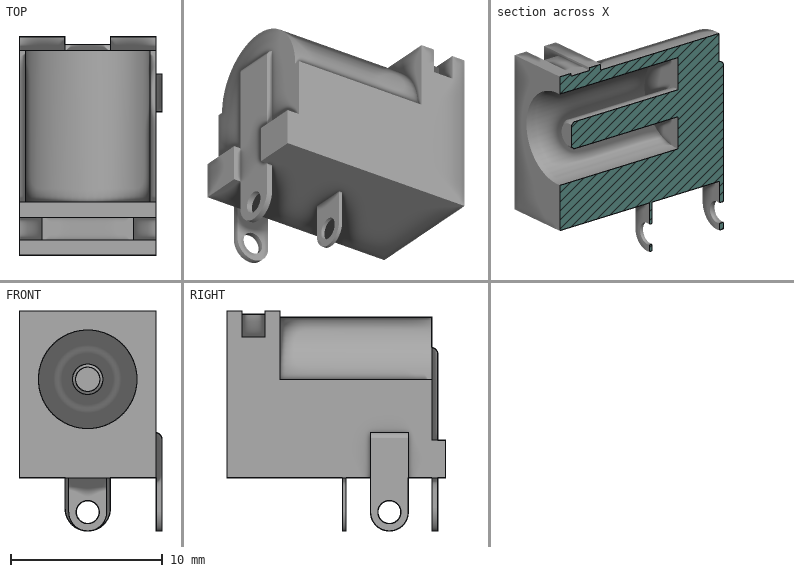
import cadquery as cq


width = 9.0
height = 11.0
flange_length = 3.5
body_length = 13.5
axis_height = 6.5
deck_height = axis_height
barrel_radius = 4.1

slot_front = 1.0
slot_back = 2.5
slot_floor = 9.3
slot_block_width = 6.0
slot_block_top = 10.8

ledge_length = 0.9
ledge_height = 2.5

bore_diameter = 6.5
bore_depth = 10.0
pin_diameter = 2.0
pin_recess = 1.0
pin_chamfer = 0.2

terminal_drop = 3.5
terminal_hole_diameter = 1.5
terminal_hole_z = -2.25
root_depth = 0.5
narrow_terminal_width = 2.5
rear_terminal_width = 3.0
outer_terminal_thickness = 0.4
middle_terminal_thickness = 0.25
rear_terminal_top = 8.6
side_terminal_top = 3.0
terminal_tip_radius = 0.5
side_terminal_y = 10.7
middle_terminal_front = 7.6


def block(x_size, y_start, y_end, z_start, z_end):
    """Box centred on x = 0 between the given y and z limits."""
    return (
        cq.Workplane("XY")
        .box(x_size, y_end - y_start, z_end - z_start, centered=(True, False, False))
        .translate((0, y_start, z_start))
    )


def cylinder(diameter, y_start, y_end):
    """Cylinder on the plug axis between two y positions."""
    return (
        cq.Workplane("XZ", origin=(0, y_start, axis_height))
        .circle(diameter / 2)
        .extrude(y_start - y_end)
    )


def make_housing():
    """Base, barrel, flange and notched ledge, before the bore and the slot are cut."""
    base = block(width, 0, body_length, 0, deck_height)
    flange = block(width, 0, flange_length, 0, height)
    barrel = cylinder(2 * barrel_radius, 0, body_length)
    ledge_back = body_length + ledge_length
    ledge = block(width, body_length, ledge_back, 0, ledge_height)
    notch = block(rear_terminal_width, body_length, ledge_back, 0, ledge_height)
    return base.union(flange).union(barrel).union(ledge.cut(notch))


def make_flange_slot():
    """Volume removed by the cross slot; it is shallow over the middle block."""
    slot = block(width, slot_front, slot_back, slot_floor, height)
    return slot.cut(block(slot_block_width, slot_front, slot_back, slot_floor, slot_block_top))


def make_pin():
    """Centre pin rising from the bore bottom, with a chamfered tip."""
    return cylinder(pin_diameter, pin_recess, bore_depth).faces("<Y").chamfer(pin_chamfer)


def make_terminal(terminal_width, thickness, top):
    """Upright terminal with a round lower end and a hole, from y = 0 to y = thickness."""
    radius = terminal_width / 2
    round_center = radius - terminal_drop
    return (
        cq.Workplane("XZ")
        .moveTo(-radius, top)
        .lineTo(-radius, round_center)
        .threePointArc((0, -terminal_drop), (radius, round_center))
        .lineTo(radius, top)
        .close()
        .extrude(-thickness)
        .cut(
            cq.Workplane("XZ", origin=(0, 0, terminal_hole_z))
            .circle(terminal_hole_diameter / 2)
            .extrude(-thickness)
        )
    )


def make_outer_terminal(terminal_width, top):
    """Terminal lying on a housing wall at y = 0, its top curving in to the wall as a shallow arc."""
    tip_base = top - outer_terminal_thickness
    tip = (
        cq.Workplane("YZ", origin=(-terminal_width / 2, 0, tip_base))
        .lineTo(outer_terminal_thickness, 0)
        .radiusArc((0, outer_terminal_thickness), -terminal_tip_radius)
        .close()
        .extrude(terminal_width)
    )
    return make_terminal(terminal_width, outer_terminal_thickness, tip_base).union(tip)


housing = make_housing().cut(make_flange_slot()).cut(cylinder(bore_diameter, 0, bore_depth))

rear_terminal = make_outer_terminal(rear_terminal_width, rear_terminal_top).translate((0, body_length, 0))
side_terminal = (
    make_outer_terminal(narrow_terminal_width, side_terminal_top)
    .rotate((0, 0, 0), (0, 0, 1), -90)
    .translate((width / 2, side_terminal_y, 0))
)
middle_terminal = make_terminal(
    narrow_terminal_width, middle_terminal_thickness, root_depth
).translate((0, middle_terminal_front, 0))

result = (
    housing.union(make_pin())
    .union(rear_terminal)
    .union(side_terminal)
    .union(middle_terminal)
)